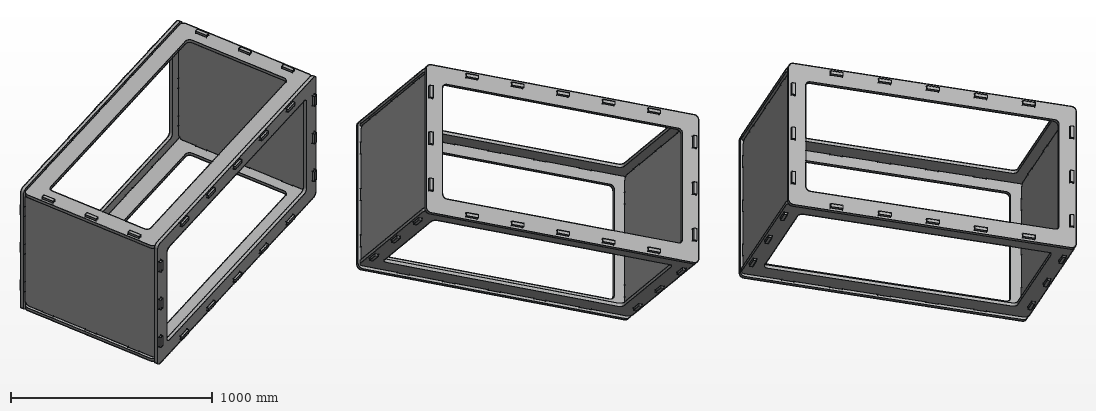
import cadquery as cq

LENGTH = 1500.0
HEIGHT = 800.0
WIDTH = 800.0

SHEET = 18.0
CORNER_RADIUS = 25.0
SETBACK = 15.0

FRAME = 90.0
WINDOW_RADIUS = 24.0

TAB_LENGTH = 65.0
TAB_PITCH = 250.0
TAB_PROUD = 10.0
SLOT_WIDTH = 22.0
LONG_EDGE_TABS = 5
END_EDGE_TABS = 3

INNER_WIDTH = WIDTH - 2 * SHEET
INNER_HEIGHT = HEIGHT - 2 * (SETBACK + SHEET)
SIDE_X = (WIDTH - SHEET) / 2
END_Y = (LENGTH - SHEET) / 2 - SETBACK
DECK_Z = (HEIGHT - SHEET) / 2 - SETBACK
TAB_REACH = SHEET + TAB_PROUD
MIRRORED = (-1, 1)


def box(x_size, y_size, z_size, center=(0, 0, 0)):
    return cq.Workplane("XY").box(x_size, y_size, z_size).translate(center)


def tab_places(count):
    """Evenly pitched positions centred on zero."""
    return [(i - (count - 1) / 2) * TAB_PITCH for i in range(count)]


def end_tabs_along_x(thickness):
    """Bars across the full width, one per tab pair: end panel tabs, or their slots in the sides."""
    return [
        box(INNER_WIDTH + 2 * TAB_REACH, thickness, TAB_LENGTH, (0, 0, z))
        for z in tab_places(END_EDGE_TABS)
    ]


def end_tabs_along_z(thickness):
    """Bars over the full height, one per tab pair: end panel tabs, or their slots in the top and bottom."""
    return [
        box(TAB_LENGTH, thickness, INNER_HEIGHT + 2 * TAB_REACH, (x, 0, 0))
        for x in tab_places(END_EDGE_TABS)
    ]


def deck_tabs(thickness):
    """Bars across the full width, one per tab pair: top or bottom panel tabs, or their slots in the sides."""
    return [
        box(INNER_WIDTH + 2 * TAB_REACH, TAB_LENGTH, thickness, (0, y, 0))
        for y in tab_places(LONG_EDGE_TABS)
    ]


def make_end(y):
    """Closed end panel with rounded corners and tabs on all four edges."""
    panel = box(INNER_WIDTH, SHEET, INNER_HEIGHT).edges("|Y").fillet(CORNER_RADIUS)
    for bar in end_tabs_along_x(SHEET) + end_tabs_along_z(SHEET):
        panel = panel.union(bar)
    return panel.translate((0, y, 0))


def make_deck(z):
    """Top or bottom panel: a windowed sheet, tabbed into the sides and slotted for the ends."""
    panel = box(INNER_WIDTH, LENGTH, SHEET).edges("|Z").fillet(CORNER_RADIUS)
    for bar in deck_tabs(SHEET):
        panel = panel.union(bar)
    window = box(INNER_WIDTH - 2 * FRAME, LENGTH - 2 * FRAME, SHEET)
    panel = panel.cut(window.edges("|Z").fillet(WINDOW_RADIUS)).translate((0, 0, z))
    for end in MIRRORED:
        for slot in end_tabs_along_z(SLOT_WIDTH):
            panel = panel.cut(slot.translate((0, end * END_Y, 0)))
    return panel


def make_side(x):
    """Side panel: a windowed sheet slotted for the top, bottom and end panels."""
    panel = box(SHEET, LENGTH, HEIGHT).edges("|X").fillet(CORNER_RADIUS)
    window = box(SHEET, LENGTH - 2 * FRAME, HEIGHT - 2 * FRAME)
    panel = panel.cut(window.edges("|X").fillet(WINDOW_RADIUS)).translate((x, 0, 0))
    for end in MIRRORED:
        for slot in end_tabs_along_x(SLOT_WIDTH):
            panel = panel.cut(slot.translate((0, end * END_Y, 0)))
        for slot in deck_tabs(SLOT_WIDTH):
            panel = panel.cut(slot.translate((0, 0, end * DECK_Z)))
    return panel


ends = [make_end(s * END_Y) for s in MIRRORED]
decks = [make_deck(s * DECK_Z) for s in MIRRORED]
sides = [make_side(s * SIDE_X) for s in MIRRORED]

result = cq.Compound.makeCompound([panel.val() for panel in ends + decks + sides])